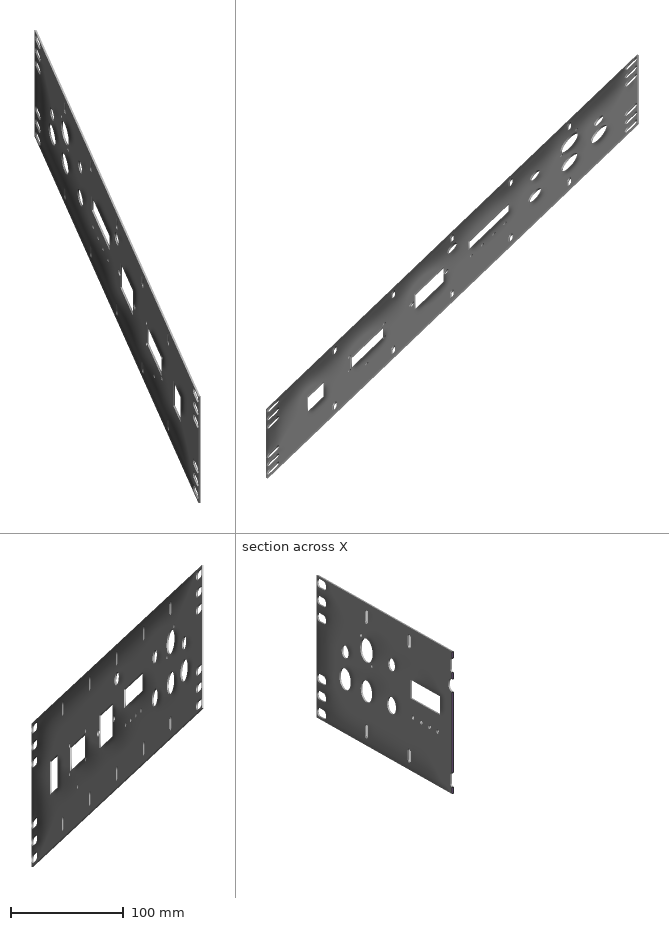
import cadquery as cq

panel_width = 482.5
panel_height = 133.0
panel_thickness = 1.6

rack_slot_length = 16.0
rack_slot_width = 8.0
rack_slot_x = panel_width / 2 - 8.5
rack_slot_heights = (28.5, 44.5, 60.5)

edge_slot_length = 13.0
edge_slot_width = 5.0
edge_slot_pitch = 76.3
edge_slot_z = 53.5
edge_slot_columns = (-2, -1, 0, 1, 2)

outer_column_x = -190.5
middle_column_x = -2 * edge_slot_pitch
inner_column_x = -107.5
lower_row_z = -16.0
upper_row_z = 22.0
small_hole_z = 9.5
small_hole_diameter = 12.0
large_hole_diameter = 20.5
medium_hole_diameter = 16.0
socket_diameter = 22.0
socket_screw_diameter = 3.5
socket_screw_dx = 9.5
socket_screw_dz = 11.5
top_hole_z = 34.7

display_x = -47.5
display_z = 9.5
display_width = 52.5
display_height = 17.5
pin_hole_diameter = 4.0
indicator_count = 4
indicator_span = 44.0
indicator_pitch = indicator_span / (indicator_count - 1)

square_window_x = 30.0
square_window_width = 37.5
tall_window_height = 31.0
side_screw_diameter = 6.5
side_screw_spacing = 44.5

meter_x = 110.5
meter_width = 42.0
meter_height = 22.0
meter_screw_spacing_x = 45.5
meter_screw_spacing_z = 26.5
meter_hole_z = -32.0

switch_x = 177.5
switch_width = 21.5


def cutter(points):
    """Workplane in the middle of the panel with the given (x, z) points."""
    return cq.Workplane("XZ").pushPoints(points)


def round_holes(diameter, points):
    return cutter(points).circle(diameter / 2).extrude(panel_thickness, both=True)


def window(x, z, width, height):
    return cutter([(x, z)]).rect(width, height).extrude(panel_thickness, both=True)


def slots(length, width, angle, points):
    return cutter(points).slot2D(length, width, angle).extrude(panel_thickness, both=True)


rack_slot_points = [
    (side * rack_slot_x, end * height)
    for side in (-1, 1)
    for end in (-1, 1)
    for height in rack_slot_heights
]
edge_slot_points = [
    (column * edge_slot_pitch, end * edge_slot_z)
    for column in edge_slot_columns
    for end in (-1, 1)
]
small_hole_points = [
    (outer_column_x, small_hole_z),
    (inner_column_x, upper_row_z),
    (0, top_hole_z),
]
socket_screw_points = [
    (middle_column_x + side * socket_screw_dx, upper_row_z - side * socket_screw_dz)
    for side in (-1, 1)
]
indicator_points = [
    (display_x - indicator_span / 2 + i * indicator_pitch, lower_row_z)
    for i in range(indicator_count)
]
side_screw_points = [
    (square_window_x + side * side_screw_spacing / 2, 0)
    for side in (-1, 1)
]
meter_screw_points = [
    (meter_x + side * meter_screw_spacing_x / 2, end * meter_screw_spacing_z / 2)
    for side in (-1, 1)
    for end in (-1, 1)
]

cuts = [
    slots(rack_slot_length, rack_slot_width, 0, rack_slot_points),
    slots(edge_slot_length, edge_slot_width, 90, edge_slot_points),
    round_holes(small_hole_diameter, small_hole_points),
    round_holes(large_hole_diameter, [(x, lower_row_z) for x in (outer_column_x, middle_column_x)]),
    round_holes(medium_hole_diameter, [(inner_column_x, lower_row_z)]),
    round_holes(socket_diameter, [(middle_column_x, upper_row_z)]),
    round_holes(socket_screw_diameter, socket_screw_points),
    window(display_x, display_z, display_width, display_height),
    round_holes(pin_hole_diameter, indicator_points),
    window(square_window_x, 0, square_window_width, tall_window_height),
    round_holes(side_screw_diameter, side_screw_points),
    window(meter_x, 0, meter_width, meter_height),
    round_holes(pin_hole_diameter, meter_screw_points + [(meter_x, meter_hole_z)]),
    window(switch_x, 0, switch_width, tall_window_height),
]

result = cq.Workplane("XY").box(panel_width, panel_thickness, panel_height)
for cut in cuts:
    result = result.cut(cut)